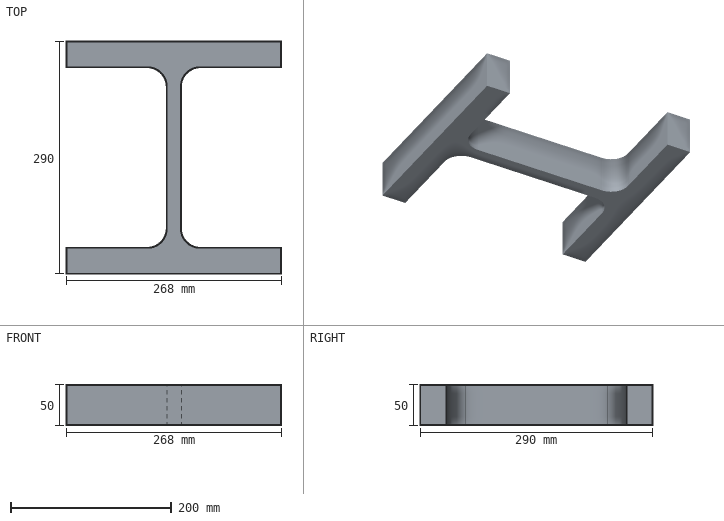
import cadquery as cq

section_depth = 290.0
flange_width = 268.0
flange_thickness = 32.5
web_thickness = 18.0
root_radius = 24.0
beam_length = 50.0

flange_offset = (section_depth - flange_thickness) / 2
clear_depth = section_depth - 2 * flange_thickness


def make_flange(center_y):
    """Flat flange spanning the full width, centred on the web."""
    return (
        cq.Workplane("XY")
        .center(0, center_y)
        .rect(flange_width, flange_thickness)
        .extrude(beam_length)
    )


def make_web():
    """Thin web joining the inner faces of the two flanges."""
    return cq.Workplane("XY").rect(web_thickness, clear_depth).extrude(beam_length)


def round_roots(beam):
    """Fillet the four inside corners where the web meets the flanges."""
    root_zone = cq.selectors.BoxSelector(
        (-web_thickness, -section_depth / 2, 0),
        (web_thickness, section_depth / 2, beam_length),
    )
    return beam.edges("|Z").edges(root_zone).fillet(root_radius)


beam = make_web().union(make_flange(flange_offset)).union(make_flange(-flange_offset))
result = round_roots(beam)